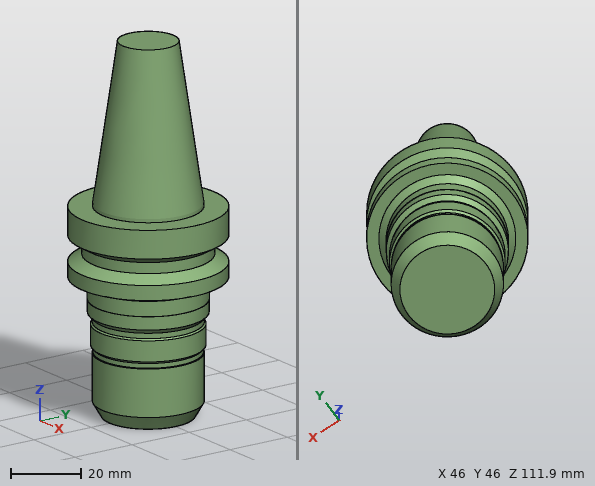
import cadquery as cq
import math


taper_length = 48.4
taper_ratio = 7 / 24
gauge_dia = 31.75
taper_tip_dia = gauge_dia - taper_length * taper_ratio

flange_dia = 46.0
flange_top_z = -1.0
flange_bottom_z = -22.0
groove_dia = 38.0
groove_centre_z = -13.55
groove_floor_width = 3.3
groove_wall_angle = 30.0

shoulder_cone_dia = 39.0
upper_shoulder_dia = 35.0
lower_shoulder_dia = 34.8
shoulder_step_z = -28.6
shoulder_bottom_z = -32.6

upper_neck_dia = 32.0
collar_dia = 33.0
lower_neck_dia = 31.6
collar_chamfer_top_z = -35.6
collar_bottom_z = -42.4

nose_dia = 32.0
nose_chamfer_top_z = -44.5
nose_cone_top_z = -59.2
nose_tip_z = -63.5
nose_tip_dia = 27.0


def bevel_height(dia_a, dia_b):
    """Height of a 45 degree bevel joining two diameters."""
    return abs(dia_a - dia_b) / 2


groove_wall_height = (flange_dia - groove_dia) / 2 * math.tan(math.radians(groove_wall_angle))
groove_floor_top_z = groove_centre_z + groove_floor_width / 2
groove_floor_bottom_z = groove_centre_z - groove_floor_width / 2
groove_top_z = groove_floor_top_z + groove_wall_height
groove_bottom_z = groove_floor_bottom_z - groove_wall_height

shoulder_cone_end_z = flange_bottom_z - bevel_height(shoulder_cone_dia, upper_shoulder_dia)
upper_neck_top_z = shoulder_bottom_z - bevel_height(lower_shoulder_dia, upper_neck_dia)
collar_top_z = collar_chamfer_top_z - bevel_height(collar_dia, upper_neck_dia)
lower_neck_top_z = collar_bottom_z - bevel_height(collar_dia, lower_neck_dia)
nose_top_z = nose_chamfer_top_z - bevel_height(nose_dia, lower_neck_dia)

profile = [
    (taper_tip_dia, taper_length),
    (gauge_dia, 0),
    (gauge_dia, flange_top_z),
    (flange_dia, flange_top_z),
    (flange_dia, groove_top_z),
    (groove_dia, groove_floor_top_z),
    (groove_dia, groove_floor_bottom_z),
    (flange_dia, groove_bottom_z),
    (flange_dia, flange_bottom_z),
    (shoulder_cone_dia, flange_bottom_z),
    (upper_shoulder_dia, shoulder_cone_end_z),
    (upper_shoulder_dia, shoulder_step_z),
    (lower_shoulder_dia, shoulder_step_z),
    (lower_shoulder_dia, shoulder_bottom_z),
    (upper_neck_dia, upper_neck_top_z),
    (upper_neck_dia, collar_chamfer_top_z),
    (collar_dia, collar_top_z),
    (collar_dia, collar_bottom_z),
    (lower_neck_dia, lower_neck_top_z),
    (lower_neck_dia, nose_chamfer_top_z),
    (nose_dia, nose_top_z),
    (nose_dia, nose_cone_top_z),
    (nose_tip_dia, nose_tip_z),
]


def turned_body(corners):
    """Revolve the (diameter, height) corners into a solid about the Z axis."""
    half_section = [(dia / 2, z) for dia, z in corners]
    top_z = corners[0][1]
    bottom_z = corners[-1][1]
    outline = cq.Workplane("XZ").polyline([(0, top_z), *half_section, (0, bottom_z)]).close()
    return outline.revolve(360, (0, 0, 0), (0, 1, 0))


result = turned_body(profile)